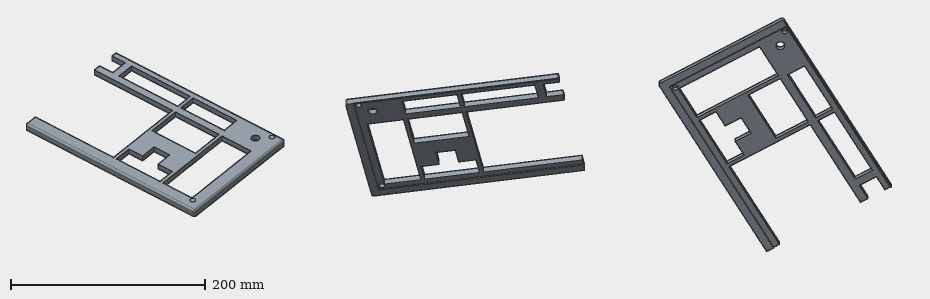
import cadquery as cq

LENGTH = 223.0
WIDTH = 148.5
HEIGHT = 8.0
CORNER_RADIUS = 2.5
EDGE_RADIUS = 2.2

CROSSBAR_START = 17.5
CROSSBAR_END = 25.9
RIB_WIDTH = 4.0
LEFT_RIB = 103.5
CENTER_START = LEFT_RIB + RIB_WIDTH
CENTER_END = 165.0
RIGHT_START = CENTER_END + RIB_WIDTH
RIGHT_END = 207.3

LOWER_RAIL = 15.0
STEM_BOTTOM = 35.2
STEM_TOP = 54.2
UPPER_WINDOW_BOTTOM = 73.1
MIDDLE_RAIL_BOTTOM = 111.7
MIDDLE_RAIL_TOP = 120.5
TOP_RAIL = 140.7

STEM_WIDTH = 20.5
STEM_CENTER = 135.8

HOLE_DIAMETER = 9.0
HOLE_X = 197.8
HOLE_Y = 130.9

RECESS_DEPTH = 1.5
RECESS_WIDE_MARGIN = 8.5
RECESS_NARROW_MARGIN = 1.1
RECESS_RIGHT = LENGTH - RECESS_WIDE_MARGIN
RECESS_TOP = WIDTH - RECESS_NARROW_MARGIN

SOCKET_DIAMETER = 5.8
SOCKET_INSET = 4.5
SOCKET_ROOF = 0.33


def block(x_start, x_end, y_start, y_end, height=HEIGHT):
    """Box standing on the underside plane, given by its edge positions."""
    return (
        cq.Workplane("XY")
        .box(x_end - x_start, y_end - y_start, height, centered=False)
        .translate((x_start, y_start, 0))
    )


def cylinder(x, y, diameter, height):
    """Upright cylinder standing on the underside plane."""
    return cq.Workplane("XY").center(x, y).circle(diameter / 2).extrude(height)


plate = block(0, LENGTH, 0, WIDTH)
plate = plate.edges("|Z and >X").fillet(CORNER_RADIUS)
plate = plate.faces(">Z").edges("not <X").fillet(EDGE_RADIUS)

windows = [
    (0, CROSSBAR_START, MIDDLE_RAIL_TOP, TOP_RAIL),
    (CROSSBAR_END, LEFT_RIB, MIDDLE_RAIL_TOP, TOP_RAIL),
    (CENTER_START, CENTER_END, MIDDLE_RAIL_TOP, TOP_RAIL),
    (0, LEFT_RIB, LOWER_RAIL, MIDDLE_RAIL_BOTTOM),
    (CENTER_START, CENTER_END, UPPER_WINDOW_BOTTOM, MIDDLE_RAIL_BOTTOM),
    (CENTER_START, CENTER_END, LOWER_RAIL, STEM_BOTTOM),
    (STEM_CENTER - STEM_WIDTH / 2, STEM_CENTER + STEM_WIDTH / 2, LOWER_RAIL, STEM_TOP),
    (RIGHT_START, RIGHT_END, LOWER_RAIL, MIDDLE_RAIL_BOTTOM),
]
for window in windows:
    plate = plate.cut(block(*window))

plate = plate.cut(cylinder(HOLE_X, HOLE_Y, HOLE_DIAMETER, HEIGHT))

plate = plate.cut(block(0, RECESS_RIGHT, RECESS_WIDE_MARGIN, RECESS_TOP, RECESS_DEPTH))
for socket_y in (RECESS_WIDE_MARGIN + SOCKET_INSET, RECESS_TOP - SOCKET_INSET):
    socket = cylinder(RECESS_RIGHT - SOCKET_INSET, socket_y, SOCKET_DIAMETER, HEIGHT - SOCKET_ROOF)
    plate = plate.cut(socket)

result = plate